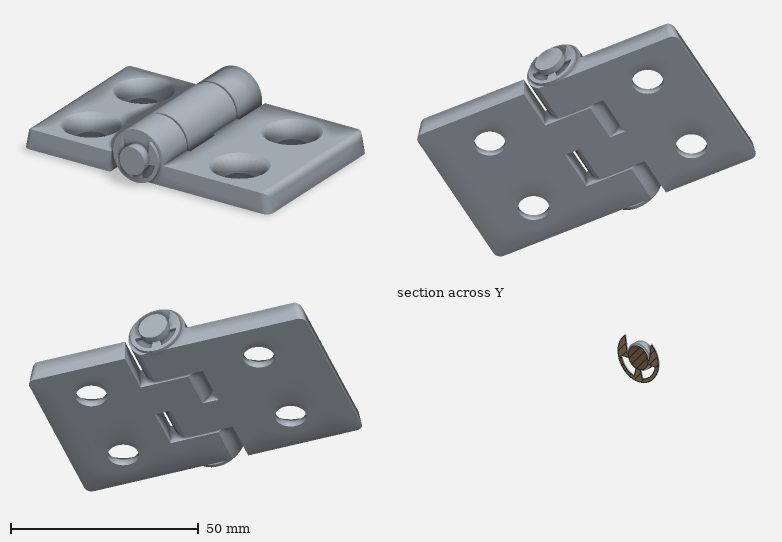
import cadquery as cq
import math


hinge_length = 47.95
left_reach = 36.6
right_reach = 41.6
plate_top = -0.55
plate_thickness = 6.0
plate_bottom = plate_top - plate_thickness
end_draft = 10.5
edge_radius = 2.0

knuckle_radius = 8.0
notch_clearance = 0.9
notch_reach = knuckle_radius + notch_clearance
outer_gap = 0.8
gap_center = hinge_length / 4

hole_diameter = 8.4
countersink_diameter = 16.4
countersink_angle = 90.0
hole_pitch = 25.4
left_hole_x = -22.4
right_hole_x = 24.9

pin_length = 53.9
pin_end_radius = 4.0
pin_shank_radius = 3.45
shank_front_overrun = 0.15

clip_radius = 7.05
clip_thickness = 1.0
window_radius = 5.95
window_top = -1.0
tongue_half_angle = 14.0
mouth_half_width = 3.7
mouth_taper = 8.6
front_clip_turn = 3.3
back_clip_turn = 0.0


def block(x_a, x_b, y_a, y_b, z_a, z_b):
    """Box between two opposite corners."""
    return cq.Workplane("XY").box(x_b - x_a, y_b - y_a, z_b - z_a, centered=False).translate((x_a, y_a, z_a))


def cylinder_y(radius, y_a, y_b):
    """Cylinder on the pin axis between two Y positions."""
    return cq.Workplane("XZ", origin=(0, y_b, 0)).circle(radius).extrude(y_b - y_a)


def plate(reach):
    """Plate from the pin axis to +X, with a drafted outer end, a rounded top edge and rounded corners."""
    end_inset = plate_thickness * math.tan(math.radians(end_draft))
    wedge = (
        cq.Workplane("XZ", origin=(0, hinge_length / 2, 0))
        .polyline([(0, plate_bottom), (reach, plate_bottom), (reach - end_inset, plate_top), (0, plate_top)])
        .close()
        .extrude(hinge_length)
    )
    rounded_top = wedge.edges(">Z").edges(">X").fillet(edge_radius)
    rounded_corners = wedge.faces(">X").edges("not |Y").fillet(edge_radius)
    return rounded_top.intersect(rounded_corners)


def screw_hole():
    """Cutter for a through hole with a conical sink opening at the plate top."""
    hole_radius = hole_diameter / 2
    sink_radius = countersink_diameter / 2
    sink_depth = (sink_radius - hole_radius) / math.tan(math.radians(countersink_angle / 2))
    return (
        cq.Workplane("XZ")
        .polyline([
            (0, plate_bottom), (hole_radius, plate_bottom), (hole_radius, plate_top - sink_depth),
            (sink_radius, plate_top), (0, plate_top),
        ])
        .close()
        .revolve(360, (0, 0, 0), (0, 1, 0))
    )


def leaf(reach, hole_x):
    """Leaf extending to +X whose knuckles are the -Y end one and the +Y middle one."""
    half_length = hinge_length / 2
    inner_end = gap_center - outer_gap / 2
    outer_start = gap_center + outer_gap / 2
    knuckle_spans = [(-half_length, -outer_start), (0, inner_end)]
    notch_spans = [(-outer_start, 0), (inner_end, half_length)]

    body = plate(reach)
    for y_a, y_b in notch_spans:
        body = body.cut(block(0, notch_reach, y_a, y_b, plate_bottom, plate_top))
    for y_a, y_b in knuckle_spans:
        above_bottom = block(-knuckle_radius, knuckle_radius, y_a, y_b, plate_bottom, knuckle_radius)
        body = body.union(cylinder_y(knuckle_radius, y_a, y_b).intersect(above_bottom))
    body = body.cut(cylinder_y(pin_shank_radius, -half_length, half_length))
    for hole_y in (-hole_pitch / 2, hole_pitch / 2):
        body = body.cut(screw_hole().translate((hole_x, hole_y, 0)))
    return body


def hinge_pin():
    """Pin whose thinner shank runs from just beyond the hinge front through the back clip."""
    shank_front = -hinge_length / 2 - shank_front_overrun
    shank_back = hinge_length / 2 + clip_thickness
    pin = cylinder_y(pin_end_radius, -pin_length / 2, shank_front)
    pin = pin.union(cylinder_y(pin_shank_radius, shank_front, shank_back))
    return pin.union(cylinder_y(pin_end_radius, shank_back, pin_length / 2))


def polar(radius, degrees):
    """Point at an angle from the +X direction."""
    return (radius * math.cos(math.radians(degrees)), radius * math.sin(math.radians(degrees)))


def clip(back_y, seat_radius, turn):
    """E-shaped clip open at the top, its +Y face at back_y, turned about the pin axis."""
    face = cq.Workplane("XZ", origin=(0, back_y, 0))

    top_half_width = mouth_half_width + clip_radius * math.tan(math.radians(mouth_taper))
    mouth = (
        face.polyline([
            (-mouth_half_width, 0), (mouth_half_width, 0),
            (top_half_width, clip_radius), (-top_half_width, clip_radius),
        ])
        .close()
        .extrude(clip_thickness)
    )
    seat = face.circle(seat_radius).extrude(clip_thickness)

    tongue_angle = -90 + tongue_half_angle
    window_start = -window_top / math.cos(math.radians(tongue_half_angle))
    corner_angle = math.degrees(math.asin(window_top / window_radius))
    window = (
        face.moveTo(*polar(window_start, tongue_angle))
        .lineTo(*polar(window_radius, corner_angle))
        .threePointArc(
            polar(window_radius, (corner_angle + tongue_angle) / 2),
            polar(window_radius, tongue_angle),
        )
        .close()
        .extrude(clip_thickness)
    )

    ring = face.circle(clip_radius).extrude(clip_thickness)
    ring = ring.cut(mouth).cut(seat).cut(window).cut(window.mirror("YZ"))
    return ring.rotate((0, 0, 0), (0, 1, 0), -turn)


right_leaf = leaf(right_reach, right_hole_x)
left_leaf = leaf(left_reach, -left_hole_x).rotate((0, 0, 0), (0, 0, 1), 180)
pin = hinge_pin()
front_clip = clip(-hinge_length / 2, pin_end_radius, front_clip_turn)
back_clip = clip(hinge_length / 2 + clip_thickness, pin_shank_radius, back_clip_turn)

result = cq.Compound.makeCompound(
    [right_leaf.val(), left_leaf.val(), pin.val(), front_clip.val(), back_clip.val()]
)